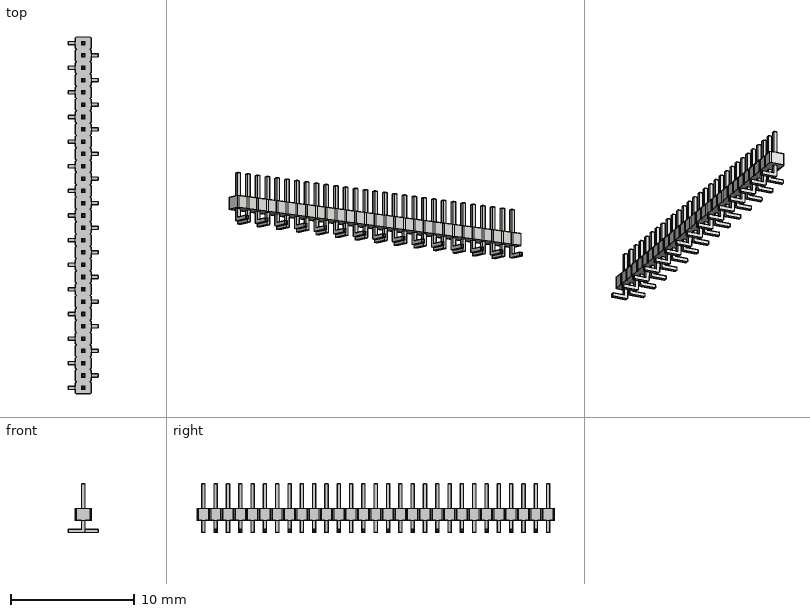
import cadquery as cq

pin_count = 29
row_length = 29.0
body_width = 1.3
body_height = 1.0
overall_height = 4.0
foot_span = 2.5
pin_thickness = 0.3
pin_above_body = 2.03
corner_cut = 0.1
tip_length = 0.05
tip_inset = 0.072
bend_radius = 0.12

pitch = row_length / pin_count
half_pin = pin_thickness / 2
foot_reach = foot_span / 2
body_bottom = overall_height - pin_above_body - body_height


def body_segment():
    """One housing block with chamfered vertical corners, centred on its pin."""
    return (
        cq.Workplane("XY", origin=(0, 0, body_bottom))
        .rect(body_width, pitch)
        .extrude(body_height)
        .edges("|Z")
        .chamfer(corner_cut)
    )


def tapered_tip(base_plane):
    """Truncated pyramid that ends a square wire."""
    end_width = pin_thickness - 2 * tip_inset
    return (
        cq.Workplane(base_plane)
        .rect(pin_thickness, pin_thickness)
        .workplane(offset=tip_length)
        .rect(end_width, end_width)
        .loft(ruled=True)
    )


def bent_pin(side):
    """L-shaped wire whose foot points to +X (side = 1) or -X (side = -1)."""
    post_top = overall_height - tip_length
    foot_end = side * (foot_reach - tip_length)
    post = cq.Workplane("XY").rect(pin_thickness, pin_thickness).extrude(post_top)
    foot = (
        cq.Workplane("YZ", origin=(0, 0, half_pin))
        .rect(pin_thickness, pin_thickness)
        .extrude(foot_end)
    )
    outer_bend_edge = cq.selectors.NearestToPointSelector((-side * half_pin, 0, 0))
    wire = post.union(foot).edges(outer_bend_edge).fillet(bend_radius)
    post_tip = tapered_tip(cq.Plane((0, 0, post_top)))
    foot_tip = tapered_tip(cq.Plane((foot_end, 0, half_pin), xDir=(0, 1, 0), normal=(side, 0, 0)))
    return wire.union(post_tip).union(foot_tip)


left_foot_unit = body_segment().union(bent_pin(-1))
right_foot_unit = body_segment().union(bent_pin(1))

units = []
for index in range(pin_count):
    unit = left_foot_unit if index % 2 == 0 else right_foot_unit
    y = (index - (pin_count - 1) / 2) * pitch
    units.append(unit.translate((0, y, 0)).val())

first_unit, *other_units = units
result = cq.Workplane(first_unit.fuse(*other_units).clean()).solids()